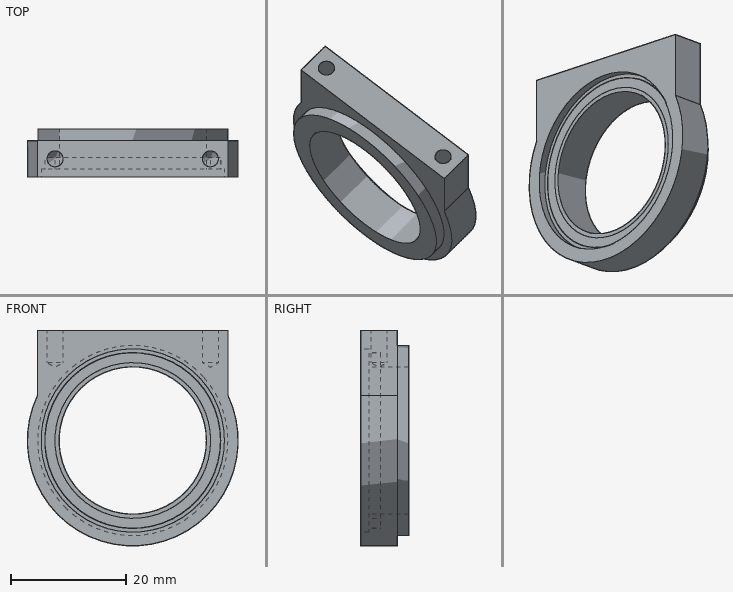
import cadquery as cq

housing_radius = 18.25
housing_thickness = 6.35
block_width = 33.0
total_height = 37.35
block_top = total_height - housing_radius

spigot_radius = 16.45
spigot_length = 2.0

recess_radius = 15.87
recess_depth = 1.42
groove_outer_radius = 15.25
groove_inner_radius = 13.48
bore_radius = 12.75

ring_clearance = 0.055
ring_outer_radius = groove_outer_radius - ring_clearance
ring_thickness = 2.0

hole_radius = 1.4
hole_depth = 5.6
hole_tip_depth = 0.82
hole_spacing = 26.9
hole_y = housing_thickness / 2


def cylinder(radius, start_y, length):
    """Solid cylinder on the Y axis, from start_y towards +Y."""
    return cq.Workplane("XZ", origin=(0, start_y, 0)).circle(radius).extrude(-length)


def make_mounting_hole(x):
    """Blind drilled hole with a conical tip, as a solid to cut away."""
    tip_z = block_top - hole_depth - hole_tip_depth
    profile = (
        cq.Workplane("XZ", origin=(x, hole_y, 0))
        .moveTo(0, tip_z)
        .lineTo(hole_radius, block_top - hole_depth)
        .lineTo(hole_radius, block_top)
        .lineTo(0, block_top)
        .close()
    )
    return profile.revolve(360, (0, 0, 0), (0, 1, 0))


def make_annulus(outer_radius, inner_radius):
    """Annulus sunk into the recess floor, as deep as the insert ring."""
    outer = cylinder(outer_radius, recess_depth, ring_thickness)
    return outer.cut(cylinder(inner_radius, recess_depth, ring_thickness))


def make_housing():
    block = cq.Workplane("XY").box(
        block_width, housing_thickness, block_top, centered=(True, False, False)
    )
    body = cylinder(housing_radius, 0, housing_thickness).union(block)
    body = body.union(cylinder(spigot_radius, housing_thickness, spigot_length))
    body = body.cut(cylinder(bore_radius, 0, housing_thickness + spigot_length))
    body = body.cut(cylinder(recess_radius, 0, recess_depth))
    body = body.cut(make_annulus(groove_outer_radius, groove_inner_radius))
    for side in (-1, 1):
        body = body.cut(make_mounting_hole(side * hole_spacing / 2))
    return body


def make_insert_ring():
    return make_annulus(ring_outer_radius, groove_inner_radius)


housing = make_housing()
insert_ring = make_insert_ring()

result = cq.Compound.makeCompound([housing.val(), insert_ring.val()])